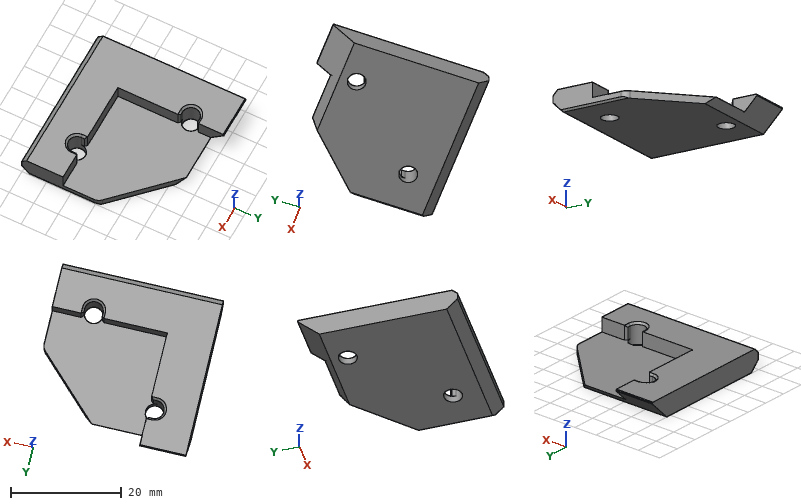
import cadquery as cq
import math

length_x = 30.02
length_y = 30.15
height = 4.43

side_taper = 0.12
leg_width = 8.47
wall_x = side_taper + leg_width
wall_y = leg_width
plate_height = 1.45

front_top_chamfer = 1.02
front_band_bottom = 2.02
back_bevel = 4.1
back_tip_chamfer = 0.15
right_bottom_chamfer = 0.4

corner_cut_start_x = 18.1
corner_round_radius = 2.17

hole_diameter = 3.4
hole_radius = hole_diameter / 2
hole_setback = 1.1
hole_1_y = 22.85
hole_2_x = 22.5
relief_chamfer = 0.42
rim_radius = hole_radius + relief_chamfer


def bevelled_bar():
    """Block with the front and back edge profile, swept along X."""
    profile = [
        (front_band_bottom, 0),
        (length_y - back_bevel, 0),
        (length_y, back_bevel),
        (length_y, height - back_tip_chamfer),
        (length_y - back_tip_chamfer, height),
        (front_top_chamfer, height),
        (0, height - front_top_chamfer),
        (0, front_band_bottom),
    ]
    bar = cq.Workplane("YZ").polyline(profile).close().extrude(length_x)
    return bar.faces(">X").edges("<Z").chamfer(right_bottom_chamfer)


def border():
    """Full-height L, its -X side leaning slightly along Y."""
    outline = [
        (side_taper, 0),
        (length_x, 0),
        (length_x, wall_y),
        (wall_x, wall_y),
        (wall_x, length_y),
        (0, length_y),
    ]
    return cq.Workplane("XY").polyline(outline).close().extrude(height)


def plate():
    """Low plate filling the inside of the L, with a 45-degree cut corner."""
    plate_end_y = length_y - back_bevel + plate_height
    cut_end_y = plate_end_y - (length_x - corner_cut_start_x)
    tangent = corner_round_radius * math.tan(math.pi / 8)
    diagonal_step = tangent * math.sqrt(0.5)
    arc_center_x = length_x - corner_round_radius
    arc_center_y = cut_end_y - tangent
    arc_middle = (
        arc_center_x + corner_round_radius * math.cos(math.pi / 8),
        arc_center_y + corner_round_radius * math.sin(math.pi / 8),
    )
    return (
        cq.Workplane("XY")
        .moveTo(wall_x, wall_y)
        .lineTo(length_x, wall_y)
        .lineTo(length_x, arc_center_y)
        .threePointArc(arc_middle, (length_x - diagonal_step, cut_end_y + diagonal_step))
        .lineTo(corner_cut_start_x, plate_end_y)
        .lineTo(corner_cut_start_x, length_y)
        .lineTo(wall_x, length_y)
        .close()
        .extrude(plate_height)
    )


def screw_relief():
    """Hole at the origin, opening toward +X above the plate with a chamfered rim."""
    hole = cq.Workplane("XY").circle(hole_radius).extrude(height)
    mouth_outline = [
        (0, -hole_radius),
        (hole_setback - relief_chamfer, -hole_radius),
        (hole_setback, -rim_radius),
        (hole_setback, rim_radius),
        (hole_setback - relief_chamfer, hole_radius),
        (0, hole_radius),
    ]
    mouth = (
        cq.Workplane("XY", origin=(0, 0, plate_height))
        .polyline(mouth_outline).close()
        .extrude(height - plate_height)
    )
    rim_bottom = height - relief_chamfer
    rim_cone = cq.Workplane(
        cq.Solid.makeCone(hole_radius, rim_radius, relief_chamfer, cq.Vector(0, 0, rim_bottom))
    )
    rim_section = [
        (-hole_radius, rim_bottom),
        (hole_radius, rim_bottom),
        (rim_radius, height),
        (-rim_radius, height),
    ]
    rim_sides = cq.Workplane("YZ").polyline(rim_section).close().extrude(hole_setback)
    return hole.union(mouth).union(rim_cone).union(rim_sides)


relief_1 = screw_relief().translate((wall_x - hole_setback, hole_1_y, 0))
relief_2 = (
    screw_relief()
    .rotate((0, 0, 0), (0, 0, 1), 90)
    .translate((hole_2_x, wall_y - hole_setback, 0))
)

result = border().union(plate()).intersect(bevelled_bar()).cut(relief_1).cut(relief_2)